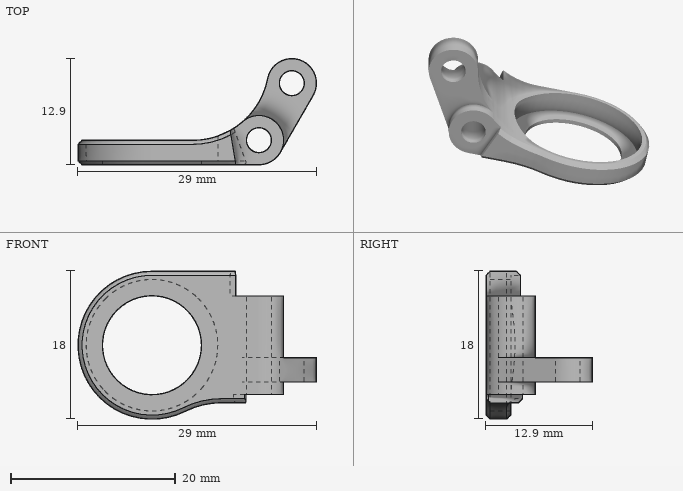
import cadquery as cq
import math

RING_RADIUS = 9.0
PLATE_THICKNESS = 3.0
EDGE_CHAMFER = 0.5
LOWER_EDGE_Z = -7.0
NECK_RADIUS = 10.0
BORE_RADIUS = 6.0
COUNTERBORE_RADIUS = 8.0
BORE_LIP = 0.5

KNUCKLE_RADIUS = PLATE_THICKNESS
PIN_RADIUS = 1.5
BARREL_X = 13.0
BARREL_Y = KNUCKLE_RADIUS
BARREL_HALF_HEIGHT = 6.0
ARM_LENGTH = 8.0
ARM_ANGLE = math.radians(60)
ARM_BOTTOM_Z = -4.5
ARM_HEIGHT = 3.0
ARM_DX = ARM_LENGTH * math.cos(ARM_ANGLE)
ARM_DY = ARM_LENGTH * math.sin(ARM_ANGLE)
LUG_X = BARREL_X + ARM_DX
LUG_Y = BARREL_Y + ARM_DY

UPPER_END_X = 10.2
UPPER_END_SLOPE = math.radians(9.5)
LOWER_END_X = 11.56
LOWER_END_SLOPE = math.radians(20)
LOWER_END_CHAMFER = 0.3

BLANK_END_X = BARREL_X - 1.0
OVERSIZE = 30.0

SWEEP_REACH = (
    ARM_DX * KNUCKLE_RADIUS
    + math.sqrt(
        (ARM_DX * KNUCKLE_RADIUS) ** 2
        + ARM_DY * KNUCKLE_RADIUS * (ARM_DY * KNUCKLE_RADIUS + ARM_LENGTH**2)
    )
) / ARM_DY
SWEEP_RADIUS = (SWEEP_REACH**2 - KNUCKLE_RADIUS**2) / (2 * KNUCKLE_RADIUS)
SWEEP_X = BARREL_X - SWEEP_REACH
SWEEP_Y = PLATE_THICKNESS + SWEEP_RADIUS


def sweep_point(angle):
    """Point on the back sweep, with the angle measured from +X."""
    return (SWEEP_X + SWEEP_RADIUS * math.cos(angle), SWEEP_Y + SWEEP_RADIUS * math.sin(angle))


SWEEP_START = math.radians(-90)
SWEEP_AT_BARREL = math.atan2(BARREL_Y - SWEEP_Y, BARREL_X - SWEEP_X)
SWEEP_AT_LUG = math.atan2(LUG_Y - SWEEP_Y, LUG_X - SWEEP_X)


def plate_section():
    """Plate in plan, thickening along the back sweep up to where that meets the barrel."""
    return (
        cq.Workplane("XY", origin=(0, 0, -RING_RADIUS))
        .moveTo(-RING_RADIUS, 0)
        .lineTo(BLANK_END_X, 0)
        .lineTo(*sweep_point(SWEEP_AT_BARREL))
        .threePointArc(
            sweep_point((SWEEP_START + SWEEP_AT_BARREL) / 2),
            sweep_point(SWEEP_START),
        )
        .lineTo(-RING_RADIUS, PLATE_THICKNESS)
        .close()
        .extrude(2 * RING_RADIUS)
    )


def plate_outline():
    """Prism along Y with the XZ outline of the plate: ring, straight top edge, and blended lower edge."""
    neck_z = LOWER_EDGE_Z - NECK_RADIUS
    centre_distance = RING_RADIUS + NECK_RADIUS
    neck_x = math.sqrt(centre_distance**2 - neck_z**2)
    ring_share = RING_RADIUS / centre_distance
    neck_start = math.radians(90)
    neck_end = math.atan2(-neck_z, -neck_x)
    neck_angle = (neck_start + neck_end) / 2
    neck_middle = (
        neck_x + NECK_RADIUS * math.cos(neck_angle),
        neck_z + NECK_RADIUS * math.sin(neck_angle),
    )
    return (
        cq.Workplane("XZ")
        .moveTo(0, RING_RADIUS)
        .lineTo(BLANK_END_X, RING_RADIUS)
        .lineTo(BLANK_END_X, LOWER_EDGE_Z)
        .lineTo(neck_x, LOWER_EDGE_Z)
        .threePointArc(neck_middle, (neck_x * ring_share, neck_z * ring_share))
        .threePointArc((-RING_RADIUS, 0), (0, RING_RADIUS))
        .close()
        .extrude(-OVERSIZE)
    )


def end_cutter(profile, z_start, height):
    """Prism that removes the plate beyond a sloping end."""
    return cq.Workplane("XY", origin=(0, 0, z_start)).polyline(profile).close().extrude(height)


def upper_end_cutter():
    """The upper end leans back over the ring, with no corner chamfer."""
    shift = OVERSIZE * math.tan(UPPER_END_SLOPE)
    profile = [
        (UPPER_END_X + shift, -OVERSIZE),
        (OVERSIZE, -OVERSIZE),
        (OVERSIZE, OVERSIZE),
        (UPPER_END_X - shift, OVERSIZE),
    ]
    return end_cutter(profile, BARREL_HALF_HEIGHT, OVERSIZE)


def lower_end_cutter():
    """The lower end leans further and has its sharp front corner chamfered."""
    shift = OVERSIZE * math.tan(LOWER_END_SLOPE)
    chamfer_back = (
        LOWER_END_X - LOWER_END_CHAMFER * math.sin(LOWER_END_SLOPE),
        LOWER_END_CHAMFER * math.cos(LOWER_END_SLOPE),
    )
    profile = [
        (LOWER_END_X - LOWER_END_CHAMFER, 0),
        (OVERSIZE, 0),
        (OVERSIZE, OVERSIZE),
        (LOWER_END_X - shift, OVERSIZE),
        chamfer_back,
    ]
    return end_cutter(profile, -BARREL_HALF_HEIGHT, -OVERSIZE)


def ring_plate():
    """Plate with chamfered front and back rims and sloping ends."""
    blank = plate_section().intersect(plate_outline())
    rims = blank.edges("not(|Y or |Z)").edges("not(>X)")
    plate = rims.chamfer(EDGE_CHAMFER)
    return plate.cut(upper_end_cutter()).cut(lower_end_cutter())


def barrel():
    """Full-height barrel with the part of the plate that leads into it."""
    return (
        cq.Workplane("XY", origin=(0, 0, -BARREL_HALF_HEIGHT))
        .moveTo(SWEEP_X, 0)
        .lineTo(BARREL_X, 0)
        .threePointArc(
            (BARREL_X + KNUCKLE_RADIUS, BARREL_Y),
            sweep_point(SWEEP_AT_BARREL),
        )
        .threePointArc(
            sweep_point((SWEEP_START + SWEEP_AT_BARREL) / 2),
            sweep_point(SWEEP_START),
        )
        .close()
        .extrude(2 * BARREL_HALF_HEIGHT)
    )


def arm():
    """Short arm from the barrel axis to the lug, its back following the sweep."""
    side_x = KNUCKLE_RADIUS * math.sin(ARM_ANGLE)
    side_y = -KNUCKLE_RADIUS * math.cos(ARM_ANGLE)
    return (
        cq.Workplane("XY", origin=(0, 0, ARM_BOTTOM_Z))
        .moveTo(BARREL_X, BARREL_Y)
        .lineTo(BARREL_X + side_x, BARREL_Y + side_y)
        .lineTo(LUG_X + side_x, LUG_Y + side_y)
        .threePointArc(
            (LUG_X, LUG_Y + KNUCKLE_RADIUS),
            sweep_point(SWEEP_AT_LUG),
        )
        .threePointArc(
            sweep_point((SWEEP_AT_LUG + SWEEP_AT_BARREL) / 2),
            sweep_point(SWEEP_AT_BARREL),
        )
        .close()
        .extrude(ARM_HEIGHT)
    )


def ring_bore():
    """Stepped bore through the ring, wider behind its front lip."""
    front = cq.Workplane("XZ").circle(BORE_RADIUS).extrude(-OVERSIZE)
    back = cq.Workplane("XZ", origin=(0, BORE_LIP, 0)).circle(COUNTERBORE_RADIUS).extrude(-OVERSIZE)
    return front.union(back)


def pin_holes():
    """Pin holes through the barrel and the lug."""
    return (
        cq.Workplane("XY", origin=(0, 0, -OVERSIZE))
        .pushPoints([(BARREL_X, BARREL_Y), (LUG_X, LUG_Y)])
        .circle(PIN_RADIUS)
        .extrude(2 * OVERSIZE)
    )


result = ring_plate().union(barrel()).union(arm()).cut(ring_bore()).cut(pin_holes())